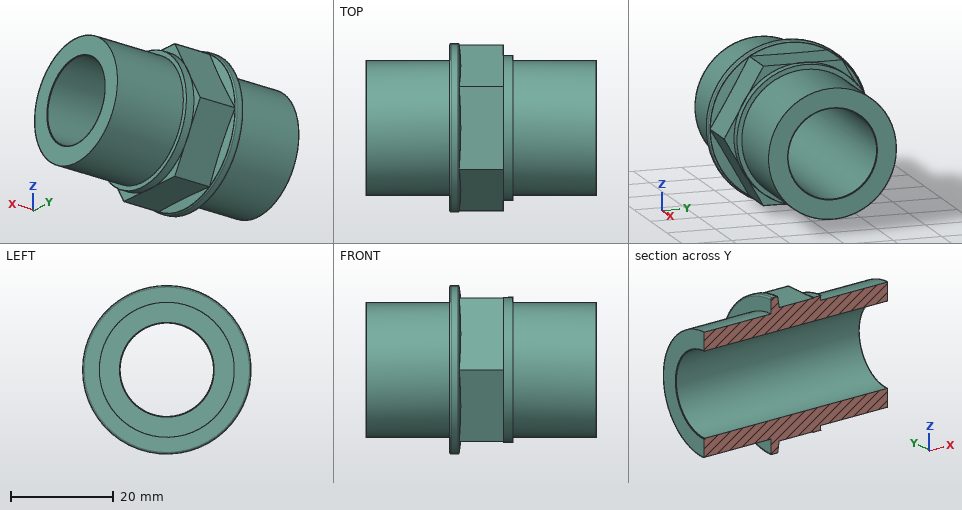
import cadquery as cq
import math

length = 45.0
tube_diameter = 26.4
bore_diameter = 18.25
bore_chamfer = 0.15

middle_length = 12.35
ring_width = 1.85
flange_diameter = 33.0
flange_rounding = 0.3
collar_diameter = 28.4
hex_across_flats = 28.12

cone_height = 0.3

flange_start = (length - middle_length) / 2
hex_start = flange_start + ring_width
collar_end = flange_start + middle_length
hex_end = collar_end - ring_width
hex_across_corners = hex_across_flats / math.cos(math.pi / 6)


def section_plane(x):
    """Plane across the tube axis, with its local x along Y."""
    return cq.Workplane("YZ", origin=(x, 0, 0))


def cylinder(start, end, diameter):
    return section_plane(start).circle(diameter / 2).extrude(end - start)


def make_flange():
    flange = cylinder(flange_start, hex_start, flange_diameter)
    return flange.edges("%CIRCLE").fillet(flange_rounding)


def make_hexagon():
    """Hexagon with two corners on the Y axis and flats facing +Z and -Z."""
    return section_plane(hex_start).polygon(6, hex_across_corners).extrude(hex_end - hex_start)


def make_cone():
    """Cone from the hexagon corner circle down to the flat circle."""
    profile = [
        (hex_start, 0),
        (hex_start, hex_across_corners / 2),
        (hex_start + cone_height, hex_across_flats / 2),
        (hex_start + cone_height, 0),
    ]
    return cq.Workplane("XY").polyline(profile).close().revolve(360, (0, 0), (1, 0))


def make_bore():
    """Through bore with a small chamfer at each mouth."""
    bore_radius = bore_diameter / 2
    mouth_radius = bore_radius + bore_chamfer
    profile = [
        (0, 0),
        (0, mouth_radius),
        (bore_chamfer, bore_radius),
        (length - bore_chamfer, bore_radius),
        (length, mouth_radius),
        (length, 0),
    ]
    return cq.Workplane("XY").polyline(profile).close().revolve(360, (0, 0), (1, 0))


result = (
    cylinder(0, length, tube_diameter)
    .union(cylinder(hex_end, collar_end, collar_diameter))
    .union(make_hexagon())
    .union(make_cone())
    .union(make_flange())
    .cut(make_bore())
)